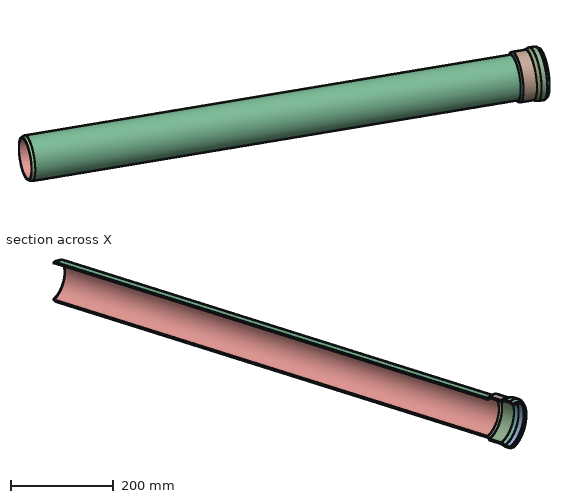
import cadquery as cq

length = 1056.0
pipe_diameter = 91.0
bore_diameter = 81.0

spigot_chamfer_length = 6.0
spigot_chamfer_depth = 3.0

socket_diameter = 100.0
socket_bore_diameter = pipe_diameter
bead_diameter = 107.0
seal_groove_diameter = 98.0
mouth_chamfer_length = 6.0
mouth_chamfer_depth = 4.0

groove_start = 6.0
bead_end = 18.0
sleeve_start = 26.0
sleeve_end = 54.0
pipe_start = 58.0

mouth = length / 2
spigot = -length / 2
pipe_radius = pipe_diameter / 2
bore_radius = bore_diameter / 2
socket_radius = socket_diameter / 2
socket_bore_radius = socket_bore_diameter / 2
bead_radius = bead_diameter / 2
seal_groove_radius = seal_groove_diameter / 2


def revolve_about_pipe_axis(profile):
    """Revolve a closed (radius, Y) outline about the Y axis."""
    return cq.Workplane("XY").polyline(profile).close().revolve(360, (0, 0, 0), (0, 1, 0))


outer_profile = [
    (0, spigot),
    (pipe_radius - spigot_chamfer_depth, spigot),
    (pipe_radius, spigot + spigot_chamfer_length),
    (pipe_radius, mouth - pipe_start),
    (socket_radius, mouth - sleeve_end),
    (socket_radius, mouth - sleeve_start),
    (bead_radius, mouth - bead_end),
    (bead_radius, mouth - mouth_chamfer_length),
    (bead_radius - mouth_chamfer_depth, mouth),
    (0, mouth),
]

inner_profile = [
    (0, spigot),
    (bore_radius, spigot),
    (bore_radius, mouth - pipe_start),
    (socket_bore_radius, mouth - sleeve_end),
    (socket_bore_radius, mouth - sleeve_start),
    (seal_groove_radius, mouth - bead_end),
    (seal_groove_radius, mouth - groove_start),
    (socket_bore_radius, mouth),
    (0, mouth),
]

result = revolve_about_pipe_axis(outer_profile).cut(revolve_about_pipe_axis(inner_profile))